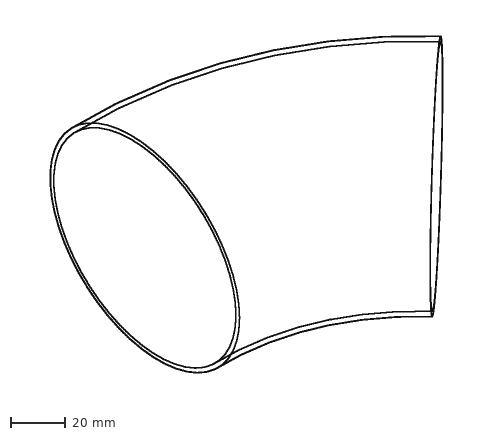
import cadquery as cq
import math

overall_length = 142.8
outer_diameter = 104.0
wall_thickness = 2.0
bend_angle = 45.0

outer_radius = outer_diameter / 2
inner_radius = outer_radius - wall_thickness

outside_bend_radius = overall_length / math.sin(math.radians(bend_angle))
bend_radius = outside_bend_radius - outer_radius

axis_start = (bend_radius, 0)
axis_end = (bend_radius, -1)

result = (
    cq.Workplane("XZ")
    .circle(outer_radius)
    .circle(inner_radius)
    .revolve(bend_angle, axis_start, axis_end)
)